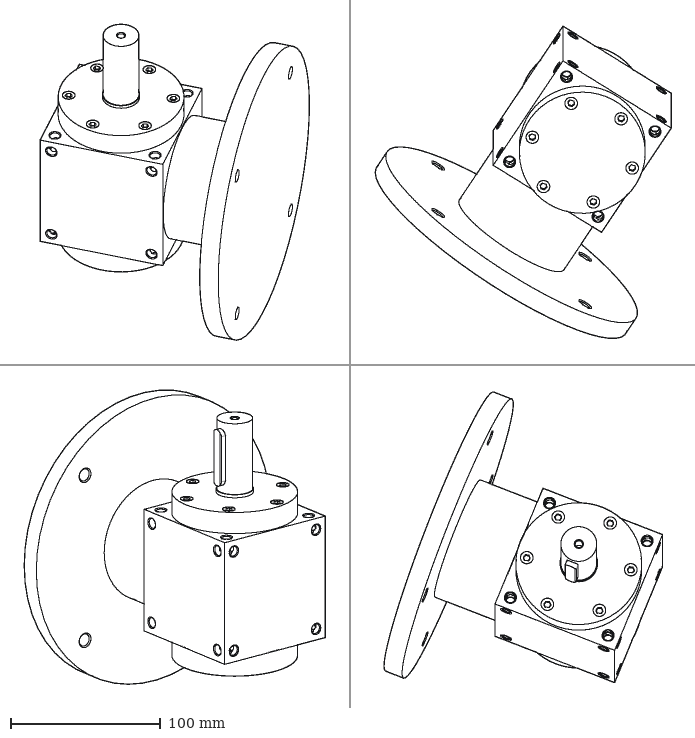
import cadquery as cq
import math


COVER_DIAMETER = 84.0
BLOCK_MARGIN = 2.0
BLOCK = COVER_DIAMETER + BLOCK_MARGIN
COVER_HEIGHT = 15.0
FLANGE_DIAMETER = 200.0
FLANGE_THICKNESS = 13.0
HOUSING_LENGTH = 143.0

MOUNT_SPACING = 70.1
MOUNT_DIAMETER = 6.7
MOUNT_MOUTH = 8.0
MOUNT_DEPTH = 12.5

FLANGE_HOLE_COUNT = 4
FLANGE_HOLE_START_ANGLE = 45.0
FLANGE_HOLE_CIRCLE = 165.0
FLANGE_HOLE_DIAMETER = 8.5
FLANGE_HOLE_MOUTH = 10.0

SCREW_COUNT = 6
SCREW_CIRCLE = 70.0
SCREW_START_ANGLE = 15.0
SCREW_HEAD_DIAMETER = 8.5
SCREW_HEAD_SINK = 0.2
SOCKET_WIDTH = 4.0
SOCKET_DEPTH = 2.5

SHAFT_DIAMETER = 24.0
SHAFT_TOP = 110.0
COLLAR_DIAMETER = 25.0
COLLAR_HEIGHT = 2.0
CENTRE_HOLE_DIAMETER = 4.8
CENTRE_HOLE_MOUTH = 6.0
CENTRE_HOLE_DEPTH = 12.5

KEY_WIDTH = 8.0
KEY_LENGTH = 40.0
KEY_HEIGHT = 7.0
KEY_OUTER_FACE = 15.1
KEY_END_GAP = 5.0
KEY_CHAMFER = 0.6

DRILL_POINT_ANGLE = 118.0
HALF_BLOCK = BLOCK / 2
COVER_FACE = HALF_BLOCK + COVER_HEIGHT
FLANGE_END = HOUSING_LENGTH - HALF_BLOCK


def drilled_hole(diameter, mouth, depth):
    """Cutter for a blind hole from the XY plane down to a drill point, with a 45 degree mouth."""
    radius = diameter / 2
    mouth_radius = mouth / 2
    point_height = radius / math.tan(math.radians(DRILL_POINT_ANGLE / 2))
    profile = [
        (0, 0),
        (mouth_radius, 0),
        (radius, radius - mouth_radius),
        (radius, -depth),
        (0, -depth - point_height),
    ]
    return cq.Workplane("XZ").polyline(profile).close().revolve(360, (0, 0, 0), (0, 1, 0))


def mounting_holes():
    """Cutter for the four corner holes of the block's top face."""
    hole = drilled_hole(MOUNT_DIAMETER, MOUNT_MOUTH, MOUNT_DEPTH).val()
    return (
        cq.Workplane("XY", origin=(0, 0, HALF_BLOCK))
        .rect(MOUNT_SPACING, MOUNT_SPACING, forConstruction=True)
        .vertices()
        .eachpoint(lambda place: hole.moved(place), useLocalCoordinates=True)
    )


def cover_screws():
    """Cutter for the sunk screw heads and their hexagon sockets in the upper cover."""
    face = cq.Workplane("XY", origin=(0, 0, COVER_FACE))
    places = face.polarArray(SCREW_CIRCLE / 2, SCREW_START_ANGLE, 360, SCREW_COUNT)
    socket_corners = SOCKET_WIDTH / math.cos(math.pi / 6)
    sockets = places.polygon(6, socket_corners).extrude(-SCREW_HEAD_SINK - SOCKET_DEPTH)
    places = face.polarArray(SCREW_CIRCLE / 2, SCREW_START_ANGLE, 360, SCREW_COUNT)
    heads = places.circle(SCREW_HEAD_DIAMETER / 2).extrude(-SCREW_HEAD_SINK)
    return heads.union(sockets)


def flange_holes():
    """Cutter for the through holes of the flange, chamfered on the side facing the block."""
    radius = FLANGE_HOLE_DIAMETER / 2
    mouth_radius = FLANGE_HOLE_MOUTH / 2
    inner_face = FLANGE_END - FLANGE_THICKNESS
    places = (
        cq.Workplane("YZ", origin=(inner_face, 0, 0))
        .polarArray(FLANGE_HOLE_CIRCLE / 2, FLANGE_HOLE_START_ANGLE, 360, FLANGE_HOLE_COUNT)
    )
    profile = [
        (0, 0),
        (mouth_radius, 0),
        (radius, mouth_radius - radius),
        (radius, FLANGE_THICKNESS),
        (0, FLANGE_THICKNESS),
    ]
    hole = cq.Workplane("XZ").polyline(profile).close().revolve(360, (0, 0, 0), (0, 1, 0)).val()
    return places.eachpoint(lambda place: hole.moved(place), useLocalCoordinates=True)


def build_housing():
    """Block with two covers, the neck and the flange, and all their holes."""
    body = cq.Workplane("XY").box(BLOCK, BLOCK, BLOCK)
    covers = cq.Workplane("XY").circle(COVER_DIAMETER / 2).extrude(COVER_FACE, both=True)
    neck = cq.Workplane("YZ").circle(COVER_DIAMETER / 2).extrude(FLANGE_END)
    flange = (
        cq.Workplane("YZ", origin=(FLANGE_END, 0, 0))
        .circle(FLANGE_DIAMETER / 2)
        .extrude(-FLANGE_THICKNESS)
    )
    body = body.union(covers).union(neck).union(flange)

    top_holes = mounting_holes()
    for angle in (0, 90, 180, 270):
        body = body.cut(top_holes.rotate((0, 0, 0), (1, 0, 0), angle))
    body = body.cut(top_holes.rotate((0, 0, 0), (0, 1, 0), -90))

    top_screws = cover_screws()
    body = body.cut(top_screws).cut(top_screws.mirror("XY"))
    return body.cut(flange_holes())


def build_key():
    """Key with its length along Z and its height along Y."""
    centre_z = SHAFT_TOP - KEY_END_GAP - KEY_LENGTH / 2
    round_ended = (
        cq.Workplane("XZ", origin=(0, KEY_OUTER_FACE, centre_z))
        .slot2D(KEY_LENGTH, KEY_WIDTH, 90)
        .extrude(KEY_HEIGHT)
    )
    chamfered_bar = (
        cq.Workplane("XY", origin=(0, KEY_OUTER_FACE - KEY_HEIGHT / 2, centre_z))
        .box(KEY_WIDTH, KEY_HEIGHT, KEY_LENGTH)
        .edges(">Y and |Z")
        .chamfer(KEY_CHAMFER)
    )
    return round_ended.intersect(chamfered_bar)


def build_shaft(key):
    """Shaft standing on the upper cover, with a keyway that matches the key."""
    cover_plane = cq.Workplane("XY", origin=(0, 0, COVER_FACE))
    shaft = cover_plane.circle(SHAFT_DIAMETER / 2).extrude(SHAFT_TOP - COVER_FACE)
    collar = cover_plane.circle(COLLAR_DIAMETER / 2).extrude(COLLAR_HEIGHT)
    centre_hole = drilled_hole(CENTRE_HOLE_DIAMETER, CENTRE_HOLE_MOUTH, CENTRE_HOLE_DEPTH)
    centre_hole = centre_hole.translate((0, 0, SHAFT_TOP))
    return shaft.union(collar).cut(centre_hole).cut(key)


housing = build_housing()
key = build_key()
shaft = build_shaft(key)

result = cq.Compound.makeCompound([housing.solids().val(), shaft.solids().val(), key.solids().val()])